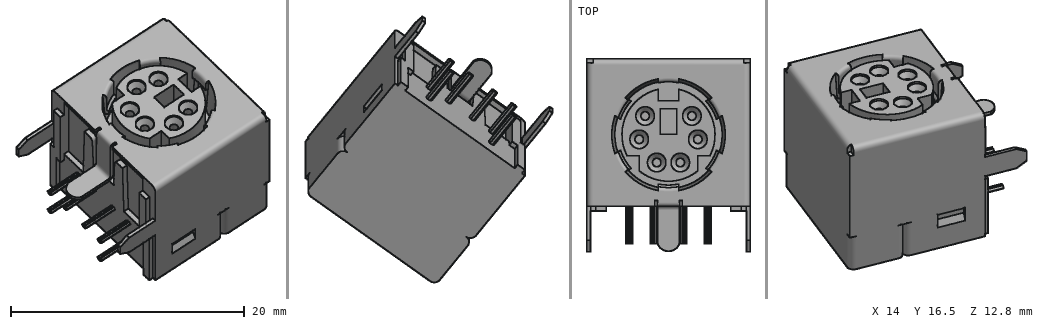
import cadquery as cq
import math

WIDTH = 14.0
HEIGHT = 12.84
OVERALL_DEPTH = 16.52
LEG_REACH = 3.88
BODY_DEPTH = OVERALL_DEPTH - LEG_REACH
SHEET = 0.33
EDGE_ROUND = 0.53
HALF_WIDTH = WIDTH / 2

SOCKET_Y = 6.13
RIM_RADIUS = 4.85
WELL_FLOOR_RADIUS = 4.6
CORE_RADIUS = 3.98
SOCKET_DEPTH = 3.96
SOCKET_FLOOR_Z = HEIGHT - SOCKET_DEPTH
TOP_KEY_HALF_WIDTH = 0.9
TOP_KEY_Y = 2.89
SIDE_KEY_X = 2.51
SIDE_KEY_Y = -1.78
POST_HOLE_WIDTH = 1.39
POST_HOLE_LENGTH = 2.16
POST_HOLE_Y = 1.12
CONTACT_POINTS = [(2.0, 1.6), (2.51, -0.4), (1.0, -2.38)]
CONTACT_MOUTH_RADIUS = 0.8
CONTACT_BORE_RADIUS = 0.36
CONTACT_MOUTH_DEPTH = 0.2
CONTACT_CONE_DEPTH = 0.5

FINGER_WIDTH = 1.78
FINGER_BEND = 0.33
FINGER_DEPTH = 2.58
FINGER_BUMP_RADIUS = 4.31
FINGER_BUMP_HEIGHT = 0.66
PLAIN_FINGER_DEPTH = 1.07
FINGER_FACE_RADIUS = RIM_RADIUS - FINGER_BEND
FINGER_COUNT = 6
PLAIN_FINGER_ANGLE = 90
FINGER_SLOT_RADIUS = 5.12

RECESS_DEPTH = 0.5
RECESS_HALF_WIDTH = 5.3
RECESS_FLOOR_Z = 5.37
TONGUE_FOOT_X = 2.75
TONGUE_TIP_X = 2.56
TONGUE_TOP_Z = 11.23
TONGUE_ROUND = 0.4
SLOT_TOP_X = 1.52
SLOT_FOOT_X = 1.35
SLOT_FOOT_Z = 7.68
RIB_HEIGHT = 0.41
RIB_OUTER_X = HALF_WIDTH - SHEET
RIB_UPPER_OUTER_X = 6.21
RIB_LOWER_INNER_X = 5.88
RIB_INNER_STEP_Z = 4.55
RIB_OUTER_STEP_Z = 5.78
RIB_TOP_Z = 10.85

TAB_WIDTH = 1.88
TAB_TOP_Z = 8.26
TAB_INNER_BEND = 0.33
TAB_SHOULDER_Y = -3.19
TAB_TIP_Y = -3.85
RELIEF_HALF_WIDTH = 1.15
RELIEF_LENGTH = 0.53

LEG_BOTTOM_Z = 6.31
LEG_TOP_Z = 8.35
LEG_SHOULDER_Y = -2.9
LEG_TIP_RISE = 0.53

PIN_WIDTH = 0.58
PIN_THICKNESS = 0.36
PIN_FLAT = 0.26
PIN_GROOVE_DEPTH = 0.08
PIN_REACH = 3.2
PIN_OUTER_X = 3.35
PIN_INNER_X = 1.29
PIN_UPPER_Z = 4.48
PIN_LOWER_Z = 1.97

CURL_RADIUS = 0.6
CURL_HEIGHT = 3.47
CURL_Y = 7.52
WINDOW_FRONT_Y = 1.87
WINDOW_BACK_Y = 4.43
WINDOW_BOTTOM_Z = 2.2
WINDOW_RAMP_Z = 2.81
WINDOW_TOP_Z = 3.54
NOTCH_WIDTH = 0.58
NOTCH_LENGTH = 0.36
NOTCH_HEIGHT = 0.78


def block(x0, x1, y0, y1, z0, z1):
    """Axis-aligned box between the given limits."""
    return cq.Workplane("XY").box(x1 - x0, y1 - y0, z1 - z0, centered=False).translate((x0, y0, z0))


def front_prism(points, y_back, y_front):
    """XZ outline filled from y_back forward to y_front."""
    return cq.Workplane("XZ", origin=(0, y_back, 0)).polyline(points).close().extrude(y_back - y_front)


def both_sides(solid):
    """The solid together with its mirror image in X."""
    return solid.union(solid.mirror("YZ"))


def turned(outline):
    """Solid made by turning an open RZ outline about the Z axis."""
    return outline.close().revolve(360, (0, 0, 0), (0, 1, 0))


def at_socket(solid, angle=0):
    """The solid turned about Z by angle and moved to the socket axis."""
    return solid.rotate((0, 0, 0), (0, 0, 1), angle).translate((0, SOCKET_Y, 0))


def make_body():
    body = block(-HALF_WIDTH, HALF_WIDTH, 0, BODY_DEPTH, 0, HEIGHT)
    return body.edges(">Z and (not <Y)").fillet(EDGE_ROUND)


def corner_notches():
    """Bend reliefs where the top, back and side sheets meet."""
    notch = block(HALF_WIDTH - NOTCH_WIDTH, HALF_WIDTH, BODY_DEPTH - NOTCH_LENGTH, BODY_DEPTH,
                  HEIGHT - NOTCH_HEIGHT, HEIGHT)
    return both_sides(notch)


def side_curl_cut(y):
    """Cusp left between two rounded sheet ends that meet on the side wall at y."""
    cut = block(HALF_WIDTH - CURL_RADIUS, HALF_WIDTH, y - CURL_RADIUS, y + CURL_RADIUS, 0, CURL_HEIGHT)
    rounds = (
        cq.Workplane("XY")
        .pushPoints([(HALF_WIDTH - CURL_RADIUS, y - CURL_RADIUS), (HALF_WIDTH - CURL_RADIUS, y + CURL_RADIUS)])
        .circle(CURL_RADIUS)
        .extrude(CURL_HEIGHT)
    )
    return both_sides(cut.cut(rounds))


def side_windows():
    """Side windows, each with a ramp rising outward to its lower edge."""
    inner_x = HALF_WIDTH - SHEET
    outline = [
        (HALF_WIDTH, WINDOW_BOTTOM_Z),
        (HALF_WIDTH, WINDOW_TOP_Z),
        (inner_x, WINDOW_TOP_Z),
        (inner_x, WINDOW_RAMP_Z),
    ]
    return both_sides(front_prism(outline, WINDOW_BACK_Y, WINDOW_FRONT_Y))


def front_recess():
    """Shallow recess around the two tongues of the moulded body."""
    recess = block(-RECESS_HALF_WIDTH, RECESS_HALF_WIDTH, 0, RECESS_DEPTH, RECESS_FLOOR_Z, HEIGHT - SHEET)
    tongue = front_prism(
        [
            (0, RECESS_FLOOR_Z),
            (TONGUE_FOOT_X, RECESS_FLOOR_Z),
            (TONGUE_TIP_X, TONGUE_TOP_Z),
            (SLOT_TOP_X, TONGUE_TOP_Z),
            (SLOT_FOOT_X, SLOT_FOOT_Z),
            (0, SLOT_FOOT_Z),
        ],
        RECESS_DEPTH,
        0,
    )
    tip_corner = cq.selectors.NearestToPointSelector((SLOT_TOP_X, RECESS_DEPTH / 2, TONGUE_TOP_Z))
    tongue = tongue.edges("|Y").edges(tip_corner).fillet(TONGUE_ROUND)
    return recess.cut(both_sides(tongue))


def front_ribs():
    outline = [
        (RIB_LOWER_INNER_X, 0),
        (RIB_OUTER_X, 0),
        (RIB_OUTER_X, RIB_OUTER_STEP_Z),
        (RIB_UPPER_OUTER_X, RIB_OUTER_STEP_Z),
        (RIB_UPPER_OUTER_X, RIB_TOP_Z),
        (RECESS_HALF_WIDTH, RIB_TOP_Z),
        (RECESS_HALF_WIDTH, RIB_INNER_STEP_Z),
        (RIB_LOWER_INNER_X, RIB_INNER_STEP_Z),
    ]
    return both_sides(front_prism(outline, SHEET, -RIB_HEIGHT))


def tab_reliefs():
    """Open gap in the front of the top sheet, later filled by the tab."""
    return block(-RELIEF_HALF_WIDTH, RELIEF_HALF_WIDTH, 0, RELIEF_LENGTH, HEIGHT - SHEET, HEIGHT)


def ground_tab():
    """Tab that turns down over the front edge, then forward with a rounded tip."""
    outer_bend = TAB_INNER_BEND + SHEET
    bend_z = TAB_TOP_Z + TAB_INNER_BEND
    mid_bend = math.sqrt(0.5)
    strip = (
        cq.Workplane("YZ", origin=(-TAB_WIDTH / 2, 0, 0))
        .moveTo(RELIEF_LENGTH, HEIGHT)
        .lineTo(SHEET, HEIGHT)
        .radiusArc((0, HEIGHT - SHEET), -SHEET)
        .lineTo(0, bend_z)
        .threePointArc(
            (-TAB_INNER_BEND * (1 - mid_bend), bend_z - TAB_INNER_BEND * mid_bend),
            (-TAB_INNER_BEND, TAB_TOP_Z),
        )
        .lineTo(TAB_TIP_Y, TAB_TOP_Z)
        .lineTo(TAB_TIP_Y, TAB_TOP_Z - SHEET)
        .lineTo(-TAB_INNER_BEND, TAB_TOP_Z - SHEET)
        .threePointArc(
            (-TAB_INNER_BEND + outer_bend * mid_bend, bend_z - outer_bend * mid_bend),
            (SHEET, bend_z),
        )
        .lineTo(SHEET, HEIGHT - SHEET)
        .lineTo(RELIEF_LENGTH, HEIGHT - SHEET)
        .close()
        .extrude(TAB_WIDTH)
    )
    plan = (
        cq.Workplane("XY")
        .moveTo(-TAB_WIDTH / 2, RELIEF_LENGTH)
        .lineTo(-TAB_WIDTH / 2, TAB_SHOULDER_Y)
        .threePointArc((0, TAB_TIP_Y), (TAB_WIDTH / 2, TAB_SHOULDER_Y))
        .lineTo(TAB_WIDTH / 2, RELIEF_LENGTH)
        .close()
        .extrude(HEIGHT)
    )
    return strip.intersect(plan)


def side_legs():
    outline = [
        (SHEET, LEG_BOTTOM_Z),
        (LEG_SHOULDER_Y, LEG_BOTTOM_Z),
        (-LEG_REACH, LEG_BOTTOM_Z + LEG_TIP_RISE),
        (-LEG_REACH, LEG_TOP_Z - LEG_TIP_RISE),
        (LEG_SHOULDER_Y, LEG_TOP_Z),
        (SHEET, LEG_TOP_Z),
    ]
    leg = cq.Workplane("YZ", origin=(HALF_WIDTH - SHEET, 0, 0)).polyline(outline).close().extrude(SHEET)
    return both_sides(leg)


def solder_pins():
    """Six flattened hexagonal pins, V-grooved on top: four in the upper row, two in the lower."""
    section = [
        (-PIN_WIDTH / 2, 0),
        (-PIN_FLAT / 2, PIN_THICKNESS / 2),
        (0, PIN_THICKNESS / 2 - PIN_GROOVE_DEPTH),
        (PIN_FLAT / 2, PIN_THICKNESS / 2),
        (PIN_WIDTH / 2, 0),
        (PIN_FLAT / 2, -PIN_THICKNESS / 2),
        (-PIN_FLAT / 2, -PIN_THICKNESS / 2),
    ]
    pins = cq.Workplane("XY")
    for x, z in [(PIN_OUTER_X, PIN_UPPER_Z), (PIN_INNER_X, PIN_UPPER_Z), (PIN_OUTER_X, PIN_LOWER_Z)]:
        outline = [(x + dx, z + dz) for dx, dz in section]
        pins = pins.union(both_sides(front_prism(outline, SHEET, -PIN_REACH)))
    return pins


def socket_well():
    """Ring-shaped well with a tapered wall, around a keyed core."""
    well = turned(
        cq.Workplane("XZ").polyline(
            [
                (0, SOCKET_FLOOR_Z),
                (WELL_FLOOR_RADIUS, SOCKET_FLOOR_Z),
                (RIM_RADIUS, HEIGHT - SHEET),
                (RIM_RADIUS, HEIGHT),
                (0, HEIGHT),
            ]
        )
    )
    top_key = block(-TOP_KEY_HALF_WIDTH, TOP_KEY_HALF_WIDTH, TOP_KEY_Y, CORE_RADIUS, SOCKET_FLOOR_Z, HEIGHT)
    side_key = block(SIDE_KEY_X, CORE_RADIUS, -CORE_RADIUS, SIDE_KEY_Y, SOCKET_FLOOR_Z, HEIGHT)
    core = cq.Workplane("XY", origin=(0, 0, SOCKET_FLOOR_Z)).circle(CORE_RADIUS).extrude(SOCKET_DEPTH)
    core = core.cut(top_key).cut(both_sides(side_key))
    return at_socket(well.cut(core))


def socket_holes():
    """Post hole and six funnel-mouthed contact holes in the core."""
    holes = (
        cq.Workplane("XY", origin=(0, POST_HOLE_Y, SOCKET_FLOOR_Z))
        .rect(POST_HOLE_WIDTH, POST_HOLE_LENGTH)
        .extrude(SOCKET_DEPTH)
    )
    mouth_z = HEIGHT - CONTACT_MOUTH_DEPTH
    funnel = turned(
        cq.Workplane("XZ").polyline(
            [
                (0, HEIGHT),
                (CONTACT_MOUTH_RADIUS, HEIGHT),
                (CONTACT_MOUTH_RADIUS, mouth_z),
                (CONTACT_BORE_RADIUS, mouth_z - CONTACT_CONE_DEPTH),
                (CONTACT_BORE_RADIUS, SOCKET_FLOOR_Z),
                (0, SOCKET_FLOOR_Z),
            ]
        )
    )
    for x, y in CONTACT_POINTS:
        holes = holes.union(both_sides(funnel.translate((x, y, 0))))
    return at_socket(holes)


def finger(outline, angle):
    """The one finger-wide piece, at the given angle, of a ring turned from the outline."""
    lane = block(0, FINGER_SLOT_RADIUS, -FINGER_WIDTH / 2, FINGER_WIDTH / 2, 0, HEIGHT)
    return at_socket(turned(outline).intersect(lane), angle)


def rolled_outline(depth):
    """Open outline up the back of a finger, across the rim and down to the end of the bend."""
    return (
        cq.Workplane("XZ")
        .moveTo(FINGER_SLOT_RADIUS, HEIGHT - depth)
        .lineTo(FINGER_SLOT_RADIUS, HEIGHT)
        .lineTo(RIM_RADIUS, HEIGHT)
        .radiusArc((FINGER_FACE_RADIUS, HEIGHT - FINGER_BEND), -FINGER_BEND)
    )


def contact_finger(angle):
    """Long finger whose lower end bulges toward the core."""
    bottom_z = HEIGHT - FINGER_DEPTH
    outline = (
        rolled_outline(FINGER_DEPTH)
        .lineTo(FINGER_FACE_RADIUS, bottom_z + FINGER_BUMP_HEIGHT)
        .threePointArc((FINGER_BUMP_RADIUS, bottom_z + FINGER_BUMP_HEIGHT / 2), (FINGER_FACE_RADIUS, bottom_z))
    )
    return finger(outline, angle)


def plain_finger(angle):
    """Short finger without a bulge."""
    outline = rolled_outline(PLAIN_FINGER_DEPTH).lineTo(FINGER_FACE_RADIUS, HEIGHT - PLAIN_FINGER_DEPTH)
    return finger(outline, angle)


def plain_finger_slot(angle):
    """Slot left open in the well wall below the short finger."""
    slot = block(CORE_RADIUS, FINGER_SLOT_RADIUS, -FINGER_WIDTH / 2, FINGER_WIDTH / 2,
                 SOCKET_FLOOR_Z, HEIGHT - PLAIN_FINGER_DEPTH)
    return at_socket(slot, angle)


result = make_body()
result = result.cut(corner_notches())
for curl_y in (CURL_Y, BODY_DEPTH):
    result = result.cut(side_curl_cut(curl_y))
result = result.cut(side_windows()).cut(front_recess()).cut(tab_reliefs())
result = result.union(front_ribs()).union(ground_tab()).union(side_legs()).union(solder_pins())
result = result.cut(socket_well()).cut(socket_holes())
result = result.cut(plain_finger_slot(PLAIN_FINGER_ANGLE)).union(plain_finger(PLAIN_FINGER_ANGLE))
for step in range(1, FINGER_COUNT):
    result = result.union(contact_finger(PLAIN_FINGER_ANGLE + step * 360 / FINGER_COUNT))